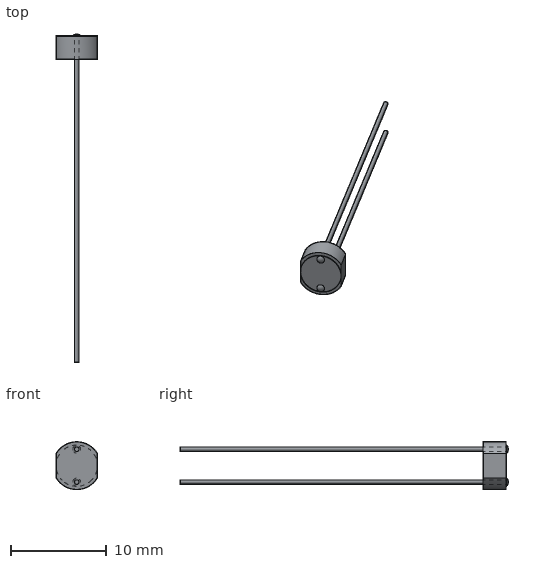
import cadquery as cq
import math

total_length = 34.2
housing_diameter = 5.0
housing_width = 4.3
housing_thickness = 2.4
disc_diameter = housing_width
disc_thickness = 0.07
head_height = 0.17
head_diameter = 0.82
lead_diameter = 0.48
lead_spacing = 3.42

housing_back = housing_thickness
disc_back = housing_back + disc_thickness
head_back = disc_back + head_height
lead_tip = head_back - total_length

lead_heights = [-lead_spacing / 2, lead_spacing / 2]


def cylinder_along_y(diameter, start, end, height=0.0):
    """Round bar from Y = start to Y = end, with its axis at Z = height."""
    return cq.Workplane(
        cq.Solid.makeCylinder(diameter / 2, end - start, cq.Vector(0, start, height), cq.Vector(0, 1, 0))
    )


def make_lead(height):
    return cylinder_along_y(lead_diameter, lead_tip, disc_back, height)


def make_head(height):
    """Domed head that closes the back end of a lead."""
    head_radius = head_diameter / 2
    dome_radius = (head_radius**2 + head_height**2) / (2 * head_height)
    dome_angle = math.asin(head_radius / dome_radius) / 2
    shoulder = (dome_radius * math.sin(dome_angle), head_back - dome_radius * (1 - math.cos(dome_angle)))
    return (
        cq.Workplane("XY", origin=(0, 0, height))
        .moveTo(0, disc_back)
        .lineTo(head_radius, disc_back)
        .threePointArc(shoulder, (0, head_back))
        .close()
        .revolve(360, (0, 0), (0, 1))
    )


def make_housing():
    """Round block with two side flats and a through hole for each lead."""
    flats = cq.Workplane("XY").box(housing_width, 2 * housing_thickness, housing_diameter)
    housing = cylinder_along_y(housing_diameter, 0, housing_back).intersect(flats)
    for height in lead_heights:
        housing = housing.cut(cylinder_along_y(lead_diameter, 0, housing_back, height))
    return housing


def make_element():
    """Thin disc on the back of the housing, carrying both leads and their heads."""
    element = cylinder_along_y(disc_diameter, housing_back, disc_back)
    for height in lead_heights:
        element = element.union(make_lead(height)).union(make_head(height))
    return element


housing = make_housing()
element = make_element()

result = cq.Compound.makeCompound([housing.val(), *element.solids().vals()])